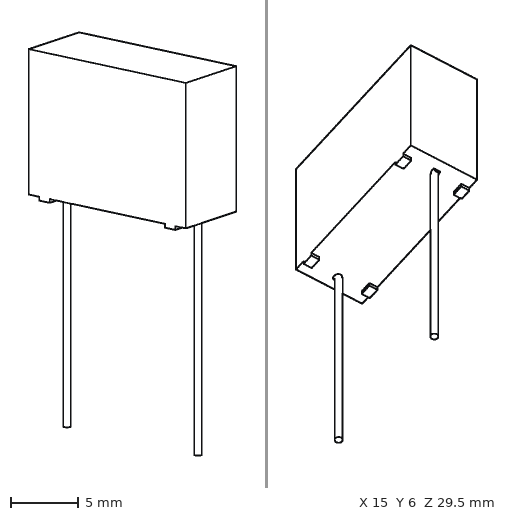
import cadquery as cq

body_length = 15.0
body_depth = 6.0
overall_height = 29.5

foot_height = 0.3
foot_length = 1.0
foot_depth = 0.75
foot_outer_inset = 1.0

lead_diameter = 0.6
lead_spacing = 12.48
lead_length = 18
bend_radius = 0.35

body_bottom = lead_length + foot_height
body_height = overall_height - body_bottom


def make_body():
    return (
        cq.Workplane("XY")
        .workplane(offset=body_bottom)
        .box(body_length, body_depth, body_height, centered=(True, True, False))
    )


def make_foot(side_x, side_y):
    """Rectangular standoff, flush with the front or back face of the body."""
    center_x = side_x * (body_length / 2 - foot_outer_inset - foot_length / 2)
    center_y = side_y * (body_depth - foot_depth) / 2
    return (
        cq.Workplane("XY")
        .workplane(offset=lead_length)
        .center(center_x, center_y)
        .rect(foot_length, foot_depth)
        .extrude(foot_height)
    )


def make_lead(side_x):
    """Straight wire that bends outward as it enters the body."""
    lead_x = side_x * lead_spacing / 2
    straight = cq.Workplane("XY").center(lead_x, 0).circle(lead_diameter / 2).extrude(lead_length)
    bend_axis_x = side_x * bend_radius
    bend = (
        cq.Workplane("XY")
        .workplane(offset=lead_length)
        .center(lead_x, 0)
        .circle(lead_diameter / 2)
        .revolve(90, (bend_axis_x, 0), (bend_axis_x, side_x))
    )
    return straight.union(bend)


result = make_body()
for side_x in (-1, 1):
    result = result.union(make_lead(side_x))
    for side_y in (-1, 1):
        result = result.union(make_foot(side_x, side_y))